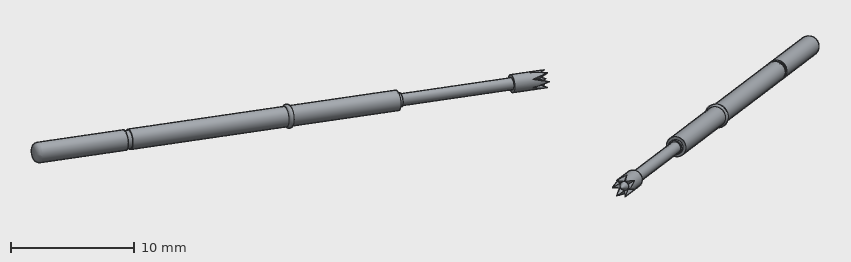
import cadquery as cq
import math


total_length = 44.8
head_length = 3.0
barrel_length = 31.8
neck_length = 0.3
collar_center = 22.25
collar_width = 0.45
groove_center = 8.2
groove_width = 0.4

barrel_diameter = 1.7
collar_diameter = 2.0
groove_diameter = 1.5
neck_diameter = 1.2
plunger_diameter = 1.0
head_diameter = 1.5
rear_round_radius = 0.5

tooth_count = 6
tooth_gap_depth = 1.4
ring_valley_depth = 0.8
tooth_land = 0.02

barrel_radius = barrel_diameter / 2
head_radius = head_diameter / 2
head_base = total_length - head_length


def rod(diameter, start, end):
    """Cylinder on the Y axis between two positions."""
    plane = cq.Plane(origin=(0, start, 0), xDir=(1, 0, 0), normal=(0, 1, 0))
    return cq.Workplane(plane).circle(diameter / 2).extrude(end - start)


def make_barrel():
    """Barrel with a rounded rear end, a crimp groove and a press-fit collar."""
    flat_radius = barrel_radius - rear_round_radius
    round_middle = rear_round_radius * math.sqrt(0.5)
    profile = (
        cq.Workplane("XY")
        .moveTo(0, 0)
        .lineTo(flat_radius, 0)
        .threePointArc(
            (flat_radius + round_middle, rear_round_radius - round_middle),
            (barrel_radius, rear_round_radius),
        )
        .lineTo(barrel_radius, groove_center - groove_width / 2)
        .lineTo(groove_diameter / 2, groove_center - groove_width / 2)
        .lineTo(groove_diameter / 2, groove_center + groove_width / 2)
        .lineTo(barrel_radius, groove_center + groove_width / 2)
        .lineTo(barrel_radius, collar_center - collar_width / 2)
        .threePointArc(
            (collar_diameter / 2, collar_center),
            (barrel_radius, collar_center + collar_width / 2),
        )
        .lineTo(barrel_radius, barrel_length)
        .lineTo(0, barrel_length)
        .close()
    )
    return profile.revolve(360, (0, 0, 0), (0, 1, 0))


def make_head_blank():
    """Round head with an annular V valley that leaves a central point."""
    profile = (
        cq.Workplane("XY")
        .moveTo(0, head_base)
        .lineTo(head_radius, head_base)
        .lineTo(head_radius, total_length)
        .lineTo(head_radius - tooth_land, total_length)
        .lineTo(head_radius / 2, total_length - ring_valley_depth)
        .lineTo(0, total_length)
        .close()
    )
    return profile.revolve(360, (0, 0, 0), (0, 1, 0))


def make_tooth_gap():
    """Wedge toward +Z whose floor falls from the central point to the rim."""
    half_width = head_radius * math.sin(math.pi / tooth_count) - tooth_land / 2
    rim_distance = head_radius * math.cos(math.pi / tooth_count)
    overrun = 1.5
    far_distance = rim_distance * overrun
    far_half_width = half_width * overrun
    far_depth = tooth_gap_depth * far_distance / head_radius

    apex = cq.Vector(0, total_length, 0)
    left = cq.Vector(-far_half_width, total_length, far_distance)
    right = cq.Vector(far_half_width, total_length, far_distance)
    floor = cq.Vector(0, total_length - far_depth, far_distance)

    triangles = [
        (apex, left, right),
        (apex, left, floor),
        (apex, right, floor),
        (left, right, floor),
    ]
    faces = [
        cq.Face.makeFromWires(cq.Wire.makePolygon(list(corners), close=True))
        for corners in triangles
    ]
    return cq.Workplane(cq.Solid.makeSolid(cq.Shell.makeShell(faces)))


def make_head():
    """Crown head at the free end of the plunger."""
    head = make_head_blank()
    gap = make_tooth_gap()
    for index in range(tooth_count):
        angle = index * 360 / tooth_count
        head = head.cut(gap.rotate((0, 0, 0), (0, 1, 0), angle))
    return head


neck = rod(neck_diameter, barrel_length, barrel_length + neck_length)
plunger = rod(plunger_diameter, barrel_length, head_base)

result = make_barrel().union(neck).union(plunger).union(make_head())